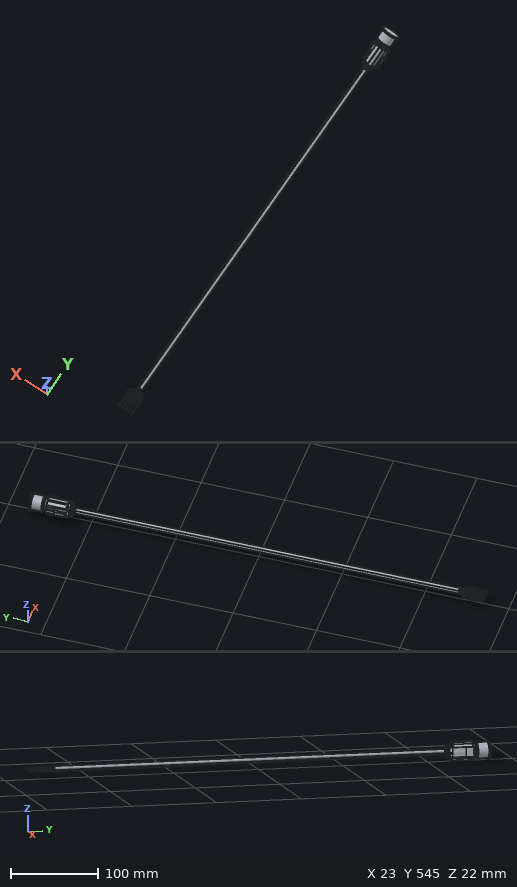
import cadquery as cq

TOTAL_LENGTH = 545.0

FLANGE_DIAMETER = 22.0
FLANGE_THICKNESS = 2.0
BARREL_DIAMETER = 19.0
BARREL_END = 14.5
NECK_DIAMETER = 17.5
NECK_END = 17.4
GROOVE_DIAMETER = 15.5
GROOVE_WIDTH = 1.4
TAPER_END_DIAMETER = 15.5

BODY_START = 20.0
BODY_END = 44.6
CORE_DIAMETER = 17.6
PAD_WIDTH = 16.8
PAD_HEIGHT = 11.5
RIB_WIDTH = 5.0
RIB_HEIGHT = 21.4

LUG_REACH = 9.8
LUG_END = 29.0
LATCH_REACH = 12.0
LATCH_HEIGHT = 5.0
LATCH_STRIP_REACH = 11.2
LATCH_STRIP_END = 30.5
LATCH_ROOT_LENGTH = 3.0
LATCH_END = 43.0
LATCH_THICKNESS = 2.6

STRAND_DIAMETER = 4.8
STRAND_X = 0.6
STRAND_Z = 0.9
CABLE_START = 52.5
CABLE_END = 514.0
WIRE_DIAMETER = 2.2
CONDUCTOR_DIAMETER = 1.1
BUNDLE_OFFSET = 1.3
TERMINAL_X = 4.7
TERMINAL_Z = 6.4
MIDDLE_TERMINAL_Z = -2.4
TERMINAL_END = 46.5
LEAD_PITCH = 4.5
LEADS_STRAIGHT = 526.0
INSULATION_END = 533.5
EMBED = 1.0

BUNDLE_SIDES = [(-1, 1), (-1, -1), (0, 0), (1, -1), (1, 1)]


def cone(start_diameter, end_diameter, start, end):
    """Taper on the Y axis between two distances from the front face."""
    origin = cq.Vector(0, -start, 0)
    axis = cq.Vector(0, -1, 0)
    return cq.Workplane(cq.Solid.makeCone(start_diameter / 2, end_diameter / 2, end - start, origin, axis))


def cylinder(diameter, start, end, x=0.0, z=0.0):
    """Round bar along -Y between two distances from the front face."""
    origin = cq.Vector(x, -start, z)
    axis = cq.Vector(0, -1, 0)
    return cq.Workplane(cq.Solid.makeCylinder(diameter / 2, end - start, origin, axis))


def block(x_min, x_max, start, end, height):
    """Box centred on Z = 0 between two distances from the front face."""
    box = cq.Workplane("XY").box(x_max - x_min, end - start, height)
    return box.translate(((x_min + x_max) / 2, -(start + end) / 2, 0))


def curved_wire(x_start, z_start, start, x_end, z_end, end):
    """Insulated wire that leaves and arrives parallel to Y."""
    along = cq.Vector(0, -1, 0)
    points = [cq.Vector(x_start, -start, z_start), cq.Vector(x_end, -end, z_end)]
    path = cq.Edge.makeSpline(points, tangents=[along, along])
    profile = cq.Workplane(cq.Plane(points[0], (1, 0, 0), along)).circle(WIRE_DIAMETER / 2)
    return profile.sweep(cq.Workplane(path))


def make_head():
    flange = cylinder(FLANGE_DIAMETER, 0, FLANGE_THICKNESS)
    barrel = cylinder(BARREL_DIAMETER, FLANGE_THICKNESS, BARREL_END)
    groove = cylinder(GROOVE_DIAMETER, BARREL_END, BARREL_END + GROOVE_WIDTH)
    neck = cylinder(NECK_DIAMETER, BARREL_END + GROOVE_WIDTH, NECK_END)
    taper = cone(NECK_DIAMETER, TAPER_END_DIAMETER, NECK_END, BODY_START)
    return flange.union(barrel).union(groove).union(neck).union(taper)


def make_body():
    core = cylinder(CORE_DIAMETER, BODY_START, BODY_END)
    ribs = block(-RIB_WIDTH / 2, RIB_WIDTH / 2, BODY_START, BODY_END, RIB_HEIGHT)
    pads = block(-PAD_WIDTH / 2, PAD_WIDTH / 2, BODY_START, BODY_END, PAD_HEIGHT)
    lugs = block(-LUG_REACH, LUG_REACH, BODY_START, LUG_END, PAD_HEIGHT)
    return core.union(ribs).union(pads).union(lugs)


def make_latch():
    """Raised strip on the -X lug, ending in a finger with a gap between it and the body."""
    root_end = LATCH_STRIP_END + LATCH_ROOT_LENGTH
    strip = block(-LATCH_STRIP_REACH, 0, BODY_START, LATCH_STRIP_END, LATCH_HEIGHT)
    root = block(-LATCH_REACH, 0, LATCH_STRIP_END, root_end, LATCH_HEIGHT)
    finger = block(-LATCH_REACH, -LATCH_REACH + LATCH_THICKNESS, root_end, LATCH_END, LATCH_HEIGHT)
    return strip.union(root).union(finger)


def make_cable():
    upper = cylinder(STRAND_DIAMETER, CABLE_START, CABLE_END, STRAND_X, STRAND_Z)
    lower = cylinder(STRAND_DIAMETER, CABLE_START, CABLE_END, -STRAND_X, -STRAND_Z)
    return upper.union(lower)


def make_terminal_wire(side_x, side_z):
    """Wire from the back of the body into the cable."""
    x = side_x * TERMINAL_X
    z = side_z * TERMINAL_Z if side_z else MIDDLE_TERMINAL_Z
    bundle_x = side_x * BUNDLE_OFFSET
    bundle_z = side_z * BUNDLE_OFFSET
    stub = cylinder(WIRE_DIAMETER, BODY_END - EMBED, TERMINAL_END, x, z)
    bend = curved_wire(x, z, TERMINAL_END, bundle_x, bundle_z, CABLE_START + EMBED)
    return stub.union(bend)


def make_lead(side_x, side_z, lead_x):
    """Wire from the cable to its place in the row of leads, with a bare conductor at the tip."""
    bundle_x = side_x * BUNDLE_OFFSET
    bundle_z = side_z * BUNDLE_OFFSET
    bend = curved_wire(bundle_x, bundle_z, CABLE_END - EMBED, lead_x, 0, LEADS_STRAIGHT)
    straight = cylinder(WIRE_DIAMETER, LEADS_STRAIGHT, INSULATION_END, lead_x)
    conductor = cylinder(CONDUCTOR_DIAMETER, INSULATION_END - EMBED, TOTAL_LENGTH, lead_x)
    return bend.union(straight).union(conductor)


result = make_head().union(make_body()).union(make_latch()).union(make_cable())
for index, (side_x, side_z) in enumerate(BUNDLE_SIDES):
    lead_x = (index - len(BUNDLE_SIDES) // 2) * LEAD_PITCH
    result = result.union(make_terminal_wire(side_x, side_z))
    result = result.union(make_lead(side_x, side_z, lead_x))